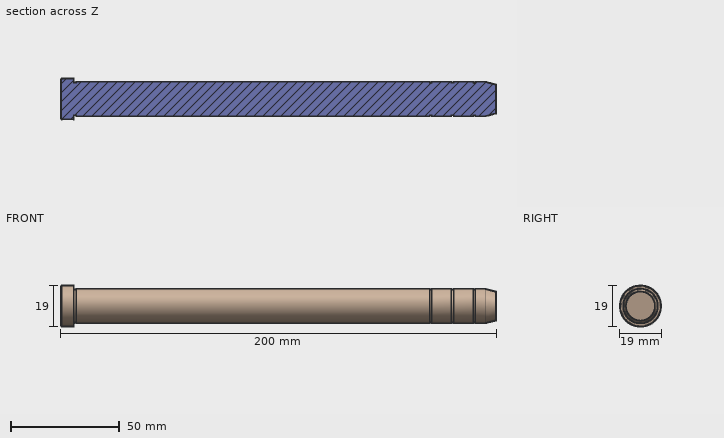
import cadquery as cq
import math

head_radius = 19.0 / 2
head_thickness = 6.0
head_chamfer = 0.5

length = 200.0
shank_radius = 16.0 / 2

tip_length = 5.0
tip_angle = 15.0

groove_radius = 0.5
tip_groove_count = 3
tip_groove_pitch = 10.0
last_tip_groove_x = length - tip_groove_pitch


def make_head():
    """Disc head along X, chamfered around its outer face."""
    disc = cq.Workplane("YZ").circle(head_radius).extrude(head_thickness)
    return disc.faces("<X").edges().chamfer(head_chamfer)


def make_shank():
    """Shank from the head face to the end of its tapered tip."""
    tip_radius = shank_radius - tip_length * math.tan(math.radians(tip_angle))
    profile = [
        (0, 0),
        (0, shank_radius),
        (length - tip_length, shank_radius),
        (length, tip_radius),
        (length, 0),
    ]
    return cq.Workplane("XY").polyline(profile).close().revolve(360, (0, 0, 0), (1, 0, 0))


def make_groove_ring(center_x):
    """Ring of round section, centered on the shank surface."""
    section = cq.Workplane("XY").center(center_x, shank_radius).circle(groove_radius)
    return section.revolve(360, (0, -shank_radius, 0), (1, -shank_radius, 0))


groove_positions = [head_thickness + groove_radius]
for index in range(tip_groove_count):
    groove_positions.append(last_tip_groove_x - index * tip_groove_pitch)

result = make_shank().union(make_head())
for position in groove_positions:
    result = result.cut(make_groove_ring(position))